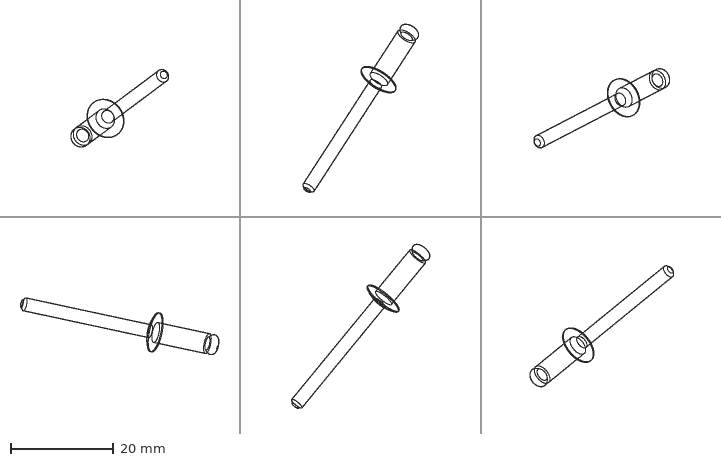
import cadquery as cq
import math

overall_length = 41.2

body_diameter = 4.0
body_length = 10.9

flange_diameter = 7.8
flange_rim_thickness = 0.25
flange_height = 1.2

mandrel_diameter = 2.6
tip_chamfer = 0.55
head_diameter = 4.0
head_thickness = 2.1

body_radius = body_diameter / 2
flange_radius = flange_diameter / 2
mandrel_radius = mandrel_diameter / 2
head_radius = head_diameter / 2
head_half_thickness = head_thickness / 2

body_end_y = -body_length
head_center_y = body_end_y - head_half_thickness
tip_y = overall_length - body_length - head_thickness


def revolve_about_y(profile):
    """Turn a half profile drawn in the XY plane fully about the Y axis."""
    return profile.close().revolve(360, (0, 0, 0), (0, 1, 0))


def make_body():
    """Cylindrical rivet sleeve below the flange."""
    return cq.Workplane("XZ").circle(body_radius).extrude(body_length)


def make_flange():
    """Flange with a thin cylindrical rim and a spherical dome centred on the axis."""
    rim_reach = flange_radius**2 + flange_rim_thickness**2
    mandrel_reach = mandrel_radius**2 + flange_height**2
    center_y = (rim_reach - mandrel_reach) / (2 * (flange_rim_thickness - flange_height))
    dome_radius = math.hypot(flange_radius, flange_rim_thickness - center_y)
    mid_radius = (flange_radius + mandrel_radius) / 2
    mid_y = center_y + math.sqrt(dome_radius**2 - mid_radius**2)

    profile = (
        cq.Workplane("XY")
        .lineTo(flange_radius, 0)
        .lineTo(flange_radius, flange_rim_thickness)
        .threePointArc((mid_radius, mid_y), (mandrel_radius, flange_height))
        .lineTo(0, flange_height)
    )
    return revolve_about_y(profile)


def make_mandrel_pin():
    """Straight pin from the middle of the head to the chamfered tip."""
    pin_length = tip_y - head_center_y
    return (
        cq.Workplane("XZ", origin=(0, head_center_y, 0))
        .circle(mandrel_radius)
        .extrude(-pin_length)
        .faces(">Y")
        .chamfer(tip_chamfer)
    )


def make_mandrel_head():
    """Rounded, flattened head that narrows to the mandrel diameter at the end of the body."""
    end_point = (0, head_center_y - head_half_thickness)
    widest_point = (head_radius, head_center_y)
    neck_point = (mandrel_radius, body_end_y)
    tangents = [(1, 0), (0, 1), (-1, 1)]

    profile = (
        cq.Workplane("XY")
        .moveTo(*end_point)
        .spline([end_point, widest_point, neck_point], tangents=tangents)
        .lineTo(0, body_end_y)
    )
    return revolve_about_y(profile)


result = make_body().union(make_flange()).union(make_mandrel_pin()).union(make_mandrel_head())